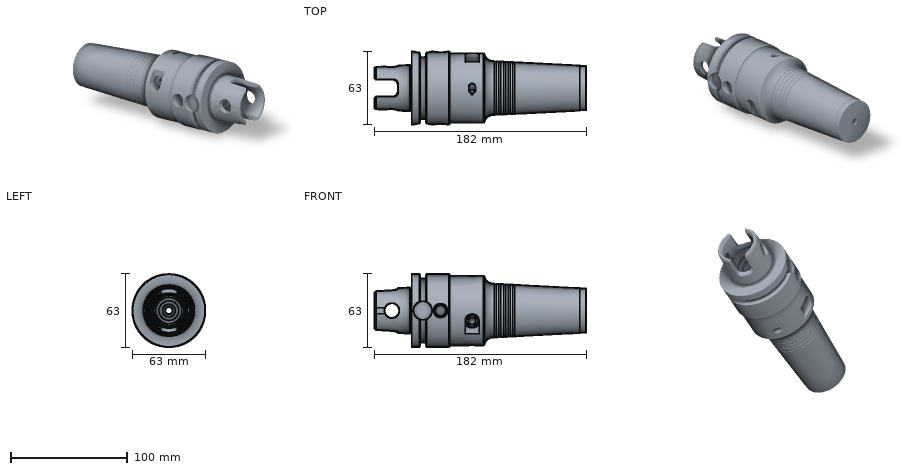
import cadquery as cq
import math

total_length = 182.0
x_axis_start = (0, 0, 0)
x_axis_end = (1, 0, 0)

shank_length = 31.8
shank_tip_radius = 18.4
shank_root_radius = 20.0
tip_chamfer_length = 1.6
tip_chamfer_depth = 1.0
undercut_width = 1.6
undercut_depth = 0.5
face_groove_radius = 22.0
face_groove_depth = 0.5

flange_radius = 31.5
gripper_floor_radius = 27.8
gripper_start = 38.5
gripper_end = 44.8
gripper_chamfer = 1.0
gripper_chamfer_depth = 1.8
flange_end = 64.8
flange_end_chamfer = 1.1
flange_edge_break = 0.4

body_radius = 30.0
body_end = 93.5
body_chamfer = 1.1
body_chamfer_depth = 1.0
neck_fillet_radius = 7.3
neck_start = 102.1
neck_radius = 23.3
nose_ring_start = 176.5
nose_taper_end_radius = 19.5
nose_radius = 19.1
nose_chamfer = 0.4

ring_count = 5
ring_start = 103.0
ring_pitch = 4.0
ring_width = 1.6
ring_depth = 0.4

mouth_radius = 16.0
mouth_chamfer_length = 2.5
mouth_bore_radius = 14.5
mouth_bore_end = 22.5
seat_radius = 14.0
seat_cone_end = 23.3
seat_end = 23.7
bore_steps = ((13.0, 24.8), (11.3, 29.1), (8.5, 32.8))
funnel_radius = 5.5
funnel_length = 2.7
through_radius = 3.0

drive_slot_width = 14.2
drive_slot_end = 19.8
drive_slot_corner = 4.0
drive_slot_mouth_chamfer = 1.5
drive_slot_edge_chamfer = 0.5
slot_edge_margin = 0.2

clamp_hole_x = 15.0
clamp_hole_diameter = 12.5
guide_flat_width = 5.1
guide_flat_y = 18.2

index_pocket_x = 41.5
index_pocket_diameter = 16.0
index_pocket_floor = 26.4

flange_hole_x = 56.8
flange_hole_steps = ((12.0, 28.4), (11.0, 25.5), (9.3, 22.8))

screw_x = 83.9
screw_offset = 9.0
screw_diameter = 12.0
screw_pocket_edge = 19.75
screw_pocket_floor = math.sqrt(body_radius**2 - screw_pocket_edge**2)
screw_seat_floor = 20.0
screw_face = 21.5
screw_face_diameter = 9.3
screw_socket_diameter = 5.8
screw_socket_depth = 2.7

slanted_hole_diameter = 6.0
slanted_hole_angle = 45.0
slanted_hole_depth = 5.1
tool_overrun = 9.1


def turned_body():
    undercut_start = shank_length - undercut_width
    body_chamfer_end = body_end + body_chamfer
    body_face_radius = body_radius - body_chamfer_depth
    return (
        cq.Workplane("XY")
        .lineTo(0, shank_tip_radius)
        .lineTo(undercut_start, shank_root_radius)
        .lineTo(undercut_start + undercut_depth, shank_root_radius - undercut_depth)
        .lineTo(shank_length + face_groove_depth, shank_root_radius - undercut_depth)
        .lineTo(shank_length + face_groove_depth, face_groove_radius - face_groove_depth)
        .lineTo(shank_length, face_groove_radius)
        .lineTo(shank_length, flange_radius - flange_edge_break)
        .lineTo(shank_length + flange_edge_break, flange_radius)
        .lineTo(gripper_start, flange_radius)
        .lineTo(gripper_start + gripper_chamfer, flange_radius - gripper_chamfer_depth)
        .lineTo(gripper_start + gripper_chamfer, gripper_floor_radius)
        .lineTo(gripper_end - gripper_chamfer, gripper_floor_radius)
        .lineTo(gripper_end - gripper_chamfer, flange_radius - gripper_chamfer_depth)
        .lineTo(gripper_end, flange_radius)
        .lineTo(flange_end - flange_end_chamfer, flange_radius)
        .lineTo(flange_end, flange_radius - flange_end_chamfer / 2)
        .lineTo(flange_end, body_radius)
        .lineTo(body_end, body_radius)
        .lineTo(body_chamfer_end, body_face_radius)
        .radiusArc((neck_start, neck_radius), -neck_fillet_radius)
        .lineTo(nose_ring_start, nose_taper_end_radius)
        .lineTo(nose_ring_start, nose_radius)
        .lineTo(total_length - nose_chamfer, nose_radius)
        .lineTo(total_length, nose_radius - nose_chamfer)
        .lineTo(total_length, 0)
        .close()
        .revolve(360, x_axis_start, x_axis_end)
    )


def neck_rings():
    """Shallow grooves that follow the taper of the nose."""
    slope = (nose_taper_end_radius - neck_radius) / (nose_ring_start - neck_start)
    rings = cq.Workplane("XY")
    for index in range(ring_count):
        start = ring_start + index * ring_pitch
        floor = neck_radius + slope * (start + ring_width / 2 - neck_start) - ring_depth
        ring = (
            cq.Workplane("YZ", origin=(start, 0, 0))
            .circle(body_radius)
            .circle(floor)
            .extrude(ring_width)
        )
        rings = rings.add(ring)
    return rings.combine()


def axial_bore():
    profile = (
        cq.Workplane("XY")
        .lineTo(0, mouth_bore_radius)
        .lineTo(mouth_bore_end, mouth_bore_radius)
        .lineTo(seat_cone_end, seat_radius)
        .lineTo(seat_end, seat_radius)
    )
    floor_x = seat_end
    for radius, step_end in bore_steps:
        profile = profile.lineTo(floor_x, radius).lineTo(step_end, radius)
        floor_x = step_end
    return (
        profile.lineTo(floor_x, funnel_radius)
        .lineTo(floor_x + funnel_length, through_radius)
        .lineTo(total_length, through_radius)
        .lineTo(total_length, 0)
        .close()
        .revolve(360, x_axis_start, x_axis_end)
    )


def cut_drive_slot(body):
    """Slot with rounded inner corners; its edges along the outside and the bore are broken."""
    slot = (
        cq.Workplane("XY")
        .rect(2 * drive_slot_end, drive_slot_width)
        .extrude(flange_radius, both=True)
        .edges("|Z and >X")
        .fillet(drive_slot_corner)
    )
    body = body.cut(slot)
    around_slot = cq.selectors.BoxSelector(
        (slot_edge_margin, -drive_slot_width, -shank_root_radius),
        (drive_slot_end + slot_edge_margin, drive_slot_width, shank_root_radius),
    )
    wall_corners = cq.selectors.ParallelDirSelector(cq.Vector(0, 0, 1))
    return body.edges(around_slot - wall_corners).chamfer(drive_slot_edge_chamfer)


def shank_mouth():
    """Chamfers around the open end: outside the rim, inside the bore and at the slot walls."""
    outer_chamfer = (
        cq.Workplane("XY")
        .moveTo(0, shank_tip_radius - tip_chamfer_depth)
        .lineTo(tip_chamfer_length, shank_tip_radius)
        .lineTo(tip_chamfer_length, shank_root_radius)
        .lineTo(0, shank_root_radius)
        .close()
        .revolve(360, x_axis_start, x_axis_end)
    )
    inner_chamfer = (
        cq.Workplane("XY")
        .lineTo(0, mouth_radius)
        .lineTo(mouth_chamfer_length, mouth_bore_radius)
        .lineTo(mouth_chamfer_length, 0)
        .close()
        .revolve(360, x_axis_start, x_axis_end)
    )
    half_width = drive_slot_width / 2
    flare = drive_slot_mouth_chamfer
    slot_flare = (
        cq.Workplane("XY")
        .polyline(
            [(0, -half_width - flare), (flare, -half_width), (flare, half_width), (0, half_width + flare)]
        )
        .close()
        .extrude(flange_radius, both=True)
    )
    return outer_chamfer.union(inner_chamfer).union(slot_flare)


def radial_cylinder(x, z, diameter, floor):
    """Cylinder along Y on the -Y side, from its floor out past the flange."""
    length = flange_radius - floor
    return (
        cq.Workplane("XZ", origin=(x, -floor, z))
        .circle(diameter / 2)
        .extrude(length)
    )


def guide_flat():
    length = clamp_hole_x
    depth = shank_root_radius - guide_flat_y
    return (
        cq.Workplane("XY", origin=(0, -shank_root_radius, 0))
        .box(length, depth, guide_flat_width, centered=(False, False, True))
    )


def flange_hole():
    hole = cq.Workplane("XY")
    for diameter, floor in flange_hole_steps:
        hole = hole.add(radial_cylinder(flange_hole_x, 0, diameter, floor))
    return hole.combine()


def screw_pocket():
    """Pocket and bore around the set screw, leaving the screw's coned head in place."""
    center_z = -screw_offset
    pocket_height = screw_pocket_edge - screw_offset
    pocket = (
        cq.Workplane("XZ", origin=(screw_x, -screw_pocket_floor, center_z - pocket_height / 2))
        .rect(screw_diameter, pocket_height)
        .extrude(body_radius - screw_pocket_floor)
    )
    bore = radial_cylinder(screw_x, center_z, screw_diameter, screw_seat_floor)
    head = (
        cq.Workplane("XZ", origin=(screw_x, -screw_seat_floor, center_z))
        .circle(screw_diameter / 2)
        .workplane(offset=screw_face - screw_seat_floor)
        .circle(screw_face_diameter / 2)
        .loft()
    )
    socket_tip = cq.Vector(screw_x, -screw_face, center_z)
    socket = cq.Workplane(
        cq.Solid.makeCone(
            screw_socket_diameter / 2, 0, screw_socket_depth, pnt=socket_tip, dir=cq.Vector(0, 1, 0)
        )
    )
    return bore.cut(head).union(pocket).union(socket)


def slanted_hole():
    """Blind hole leaning towards -Y as it goes down from the top of the body."""
    angle = math.radians(slanted_hole_angle)
    inward = cq.Vector(0, -math.sin(angle), -math.cos(angle))
    start = cq.Vector(screw_x, 0, body_radius) - inward * tool_overrun
    return cq.Workplane(
        cq.Solid.makeCylinder(
            slanted_hole_diameter / 2, slanted_hole_depth + tool_overrun, start, inward
        )
    )


result = turned_body().cut(neck_rings()).cut(axial_bore())
result = cut_drive_slot(result).cut(shank_mouth())

for feature in (
    radial_cylinder(clamp_hole_x, 0, clamp_hole_diameter, 0),
    guide_flat(),
    radial_cylinder(index_pocket_x, 0, index_pocket_diameter, index_pocket_floor),
    flange_hole(),
    screw_pocket(),
    slanted_hole(),
):
    result = result.cut(feature)
    result = result.cut(feature.rotate(x_axis_start, x_axis_end, 180))